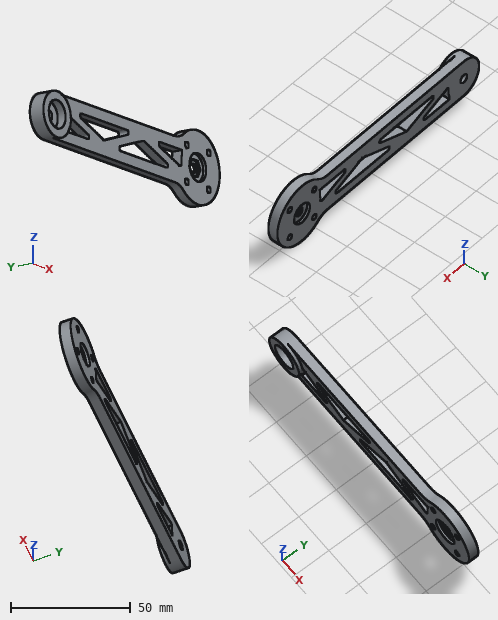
import cadquery as cq
import math


arm_length = 105.0
plate_thickness = 5.0
pivot_radius = 10.0
head_radius = 16.0
neck_radius = 10.0

boss_height = 2.0
axle_diameter = 4.2
seat_diameter = 12.2
pivot_seat_depth = 4.0
head_seat_depth = 1.5
nut_across_flats = 7.0
nut_depth = 1.0
back_recess_diameter = 10.2
back_recess_depth = 1.5

screw_diameter = 2.7
screw_spacing = 15.9

window_half_height = 5.0
apex_height = 3.0
lattice_middle = 51.4
apex_offset = 14.3
strut_angle = math.radians(19.75)
strut_width = 4.0
corner_radius = 1.0
end_edge_offset = 42.1
end_edge_lean = math.radians(4.0)

front_face = -plate_thickness
boss_face = front_face - boss_height


def sketch_at(y):
    """Workplane at depth y: local x is X, local y is Z, extrusions go toward -Y."""
    return cq.Workplane("XZ", origin=(0, y, 0))


def cylinder(x, diameter, y_front, y_back):
    return sketch_at(y_back).center(x, 0).circle(diameter / 2).extrude(y_back - y_front)


def arm_plate():
    neck_height = pivot_radius + neck_radius
    reach = head_radius + neck_radius
    neck_run = math.sqrt(reach**2 - neck_height**2)
    neck_x = arm_length - neck_run
    touch_x = arm_length - neck_run * head_radius / reach
    touch_z = neck_height * head_radius / reach
    middle_angle = math.atan2(neck_run, neck_height) / 2
    middle_x = neck_x + neck_radius * math.sin(middle_angle)
    middle_z = neck_height - neck_radius * math.cos(middle_angle)
    return (
        sketch_at(0)
        .moveTo(0, pivot_radius)
        .lineTo(neck_x, pivot_radius)
        .threePointArc((middle_x, middle_z), (touch_x, touch_z))
        .threePointArc((arm_length + head_radius, 0), (touch_x, -touch_z))
        .threePointArc((middle_x, -middle_z), (neck_x, -pivot_radius))
        .lineTo(0, -pivot_radius)
        .close()
        .extrude(plate_thickness)
    )


def prism(points):
    return sketch_at(0).polyline(points).close().extrude(plate_thickness)


def middle_window():
    """Upper middle window: a flat triangle on the upper rail with its tip pointing down."""
    apex_x = lattice_middle - apex_offset
    half_base = (window_half_height + apex_height) / math.tan(strut_angle)
    window = prism([
        (apex_x - half_base, window_half_height),
        (apex_x + half_base, window_half_height),
        (apex_x, -apex_height),
    ])
    return window.edges("|Y").edges(">Z").fillet(corner_radius)


def end_window():
    """Window next to the head: its sloping side runs one strut width above the lower middle window."""
    slope = math.tan(strut_angle)
    apex_x = lattice_middle + apex_offset
    side_height = apex_height + strut_width / math.cos(strut_angle)
    tip_x = apex_x + (side_height - window_half_height) / slope
    edge_x = lattice_middle + end_edge_offset
    lean = math.tan(end_edge_lean)
    drop = (edge_x - tip_x) * slope / (1 + lean * slope)
    window = prism([
        (tip_x, window_half_height),
        (edge_x, window_half_height),
        (edge_x - drop * lean, window_half_height - drop),
    ])
    return window.edges("|Y").edges("<X or <Z").fillet(corner_radius)


def lattice():
    upper = middle_window().union(end_window())
    turned = upper.rotate((lattice_middle, 0, 0), (lattice_middle, 1, 0), 180)
    return upper.union(turned)


def pivot_bore():
    seat = cylinder(0, seat_diameter, boss_face, boss_face + pivot_seat_depth)
    return seat.union(cylinder(0, axle_diameter, boss_face, 0))


def head_bore():
    seat_floor = front_face + head_seat_depth
    seat = cylinder(arm_length, seat_diameter, front_face, seat_floor)
    across_corners = nut_across_flats / math.cos(math.pi / 6)
    nut = (
        sketch_at(seat_floor + nut_depth)
        .center(arm_length, 0)
        .polygon(6, across_corners)
        .extrude(nut_depth)
    )
    recess = cylinder(arm_length, back_recess_diameter, -back_recess_depth, 0)
    return seat.union(nut).union(recess).union(cylinder(arm_length, axle_diameter, front_face, 0))


def screw_holes():
    return (
        sketch_at(0)
        .center(arm_length, 0)
        .rect(screw_spacing, screw_spacing, forConstruction=True)
        .vertices()
        .circle(screw_diameter / 2)
        .extrude(plate_thickness)
    )


body = arm_plate().cut(lattice())
body = body.union(cylinder(0, 2 * pivot_radius, boss_face, 0))
result = body.cut(pivot_bore()).cut(head_bore()).cut(screw_holes())